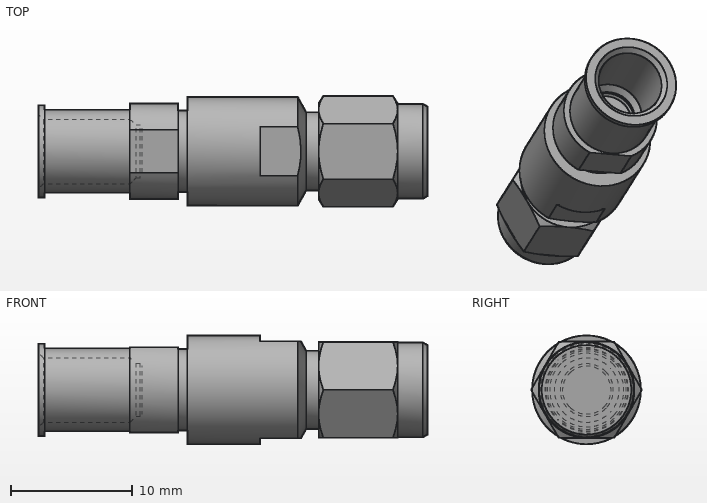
import cadquery as cq
import math

length = 32.08
flange_end = 0.5
tube_end = 7.55
collar_end = 11.52
groove_end = 12.3
flats_start = 18.3
body_end = 21.35
taper_end = 22.07
nut_start = 23.1
nut_end = 29.6

flange_radius = 3.82
tube_radius = 3.43
collar_radius = 3.95
groove_radius = 3.37
body_radius = 4.5
neck_radius = 3.25
sleeve_radius = 3.9
sleeve_chamfer_length = 0.4
sleeve_chamfer_depth = 0.22

collar_half_flats = 3.53
body_half_flats = 4.0

nut_corner_radius = 9.15 / 2
nut_half_flats = nut_corner_radius * math.cos(math.pi / 6)
nut_chamfer_length = 0.4

mouth_radius = 3.05
bore_radius = 2.65
mouth_depth = 0.4
bore_depth = tube_end
step_radius = 2.18
tip_radius = 2.0
step_length = 0.32


def revolve_about_x(profile):
    """Turn a closed (x, radius) outline about the X axis."""
    return cq.Workplane("XY").polyline(profile).close().revolve(360, (0, 0, 0), (1, 0, 0))


def cylinder(start, end, radius):
    return cq.Workplane("YZ", origin=(start, 0, 0)).circle(radius).extrude(end - start)


def flats_slab(start, end, half_flats):
    """Slab whose top and bottom faces are the wrench flats."""
    width = 2 * body_radius
    return cq.Workplane("XY").box(end - start, width, 2 * half_flats).translate(((start + end) / 2, 0, 0))


def make_collar():
    collar = cylinder(tube_end, collar_end, collar_radius)
    return collar.intersect(flats_slab(tube_end, collar_end, collar_half_flats))


def make_body():
    body = revolve_about_x([
        (groove_end, 0),
        (groove_end, body_radius),
        (body_end, body_radius),
        (taper_end, neck_radius),
        (taper_end, 0),
    ])
    front = cylinder(flats_start, taper_end, body_radius)
    outside_flats = front.cut(flats_slab(flats_start, taper_end, body_half_flats))
    return body.cut(outside_flats)


def make_nut():
    hexagon = (
        cq.Workplane("YZ", origin=(nut_start, 0, 0))
        .polygon(6, 2 * nut_corner_radius)
        .extrude(nut_end - nut_start)
    )
    chamfer_envelope = revolve_about_x([
        (nut_start, 0),
        (nut_start, nut_half_flats),
        (nut_start + nut_chamfer_length, nut_corner_radius),
        (nut_end - nut_chamfer_length, nut_corner_radius),
        (nut_end, nut_half_flats),
        (nut_end, 0),
    ])
    return hexagon.intersect(chamfer_envelope)


def make_bore():
    """Bore with a flared mouth, narrowing through two 45 degree tapers to a flat bottom."""
    step_depth = bore_depth + bore_radius - step_radius
    tip_depth = step_depth + step_radius - tip_radius
    return revolve_about_x([
        (0, 0),
        (0, mouth_radius),
        (mouth_depth, bore_radius),
        (bore_depth, bore_radius),
        (step_depth, step_radius),
        (step_depth + step_length, step_radius),
        (tip_depth + step_length, tip_radius),
        (tip_depth + step_length, 0),
    ])


sleeve = revolve_about_x([
    (nut_end, 0),
    (nut_end, sleeve_radius),
    (length - sleeve_chamfer_length, sleeve_radius),
    (length, sleeve_radius - sleeve_chamfer_depth),
    (length, 0),
])

result = (
    cylinder(0, flange_end, flange_radius)
    .union(cylinder(flange_end, tube_end, tube_radius))
    .union(make_collar())
    .union(cylinder(collar_end, groove_end, groove_radius))
    .union(make_body())
    .union(cylinder(taper_end, nut_start, neck_radius))
    .union(make_nut())
    .union(sleeve)
    .cut(make_bore())
)